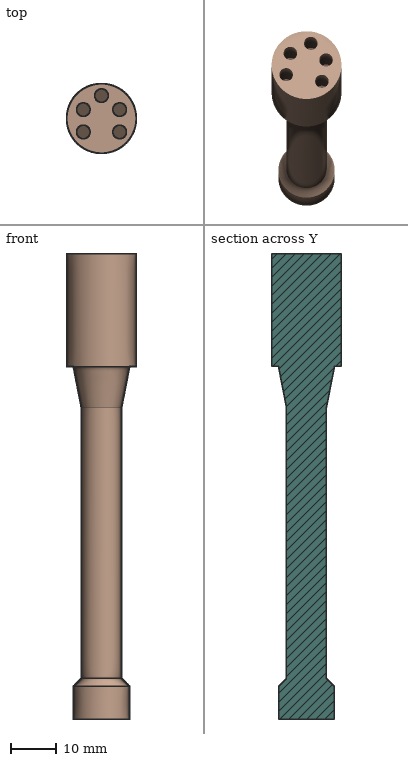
import cadquery as cq

total_height = 103.0
head_length = 25.0
cone_length = 9.0
foot_height = 7.3

head_diameter = 15.5
cone_top_diameter = 12.5
shaft_diameter = 9.0
foot_diameter = 12.5

hole_diameter = 3.0
hole_depth = 10.0
centre_hole_y = 5.0
side_hole_x = 4.0
upper_hole_y = 2.0
lower_hole_y = -3.0

head_bottom = total_height - head_length
cone_bottom = head_bottom - cone_length
foot_bevel_height = (foot_diameter - shaft_diameter) / 2
foot_bevel_top = foot_height + foot_bevel_height


def make_body():
    """Revolve the half profile of foot, shaft, cone and head about Z."""
    profile = [
        (0, 0),
        (foot_diameter / 2, 0),
        (foot_diameter / 2, foot_height),
        (shaft_diameter / 2, foot_bevel_top),
        (shaft_diameter / 2, cone_bottom),
        (cone_top_diameter / 2, head_bottom),
        (head_diameter / 2, head_bottom),
        (head_diameter / 2, total_height),
        (0, total_height),
    ]
    return cq.Workplane("XZ").polyline(profile).close().revolve(360, (0, 0), (0, 1))


def make_holes():
    """Flat-bottomed drillings going down from the top face."""
    centres = [(0, centre_hole_y)]
    for side in (-1, 1):
        centres.append((side * side_hole_x, upper_hole_y))
        centres.append((side * side_hole_x, lower_hole_y))
    top_plane = cq.Workplane("XY").workplane(offset=total_height)
    return top_plane.pushPoints(centres).circle(hole_diameter / 2).extrude(-hole_depth)


result = make_body().cut(make_holes())